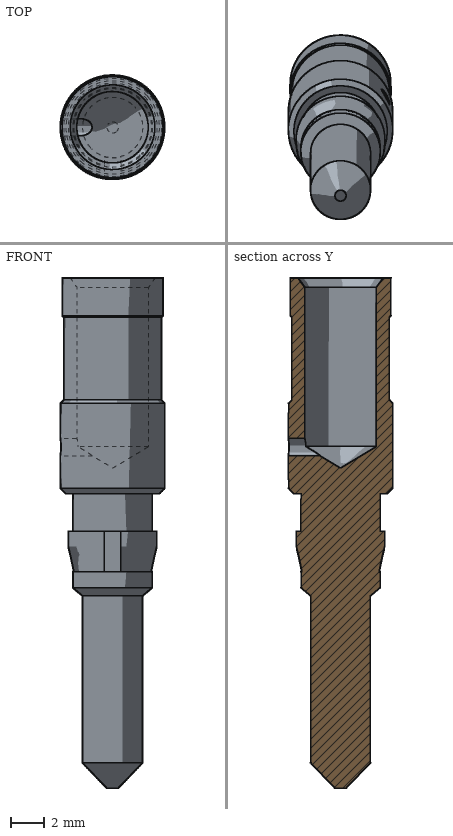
import cadquery as cq
import math

total_length = 30.8
tip_end_radius = 0.35
pin_radius = 1.82
tip_length = 1.55
pin_top = 11.6
collar_radius = 2.4
collar_chamfer_top = 12.1
collar_top = 13.05

ring_groove_radius = 1.85
ring_bottom_radius = 2.35
ring_radius = 2.68
ring_taper_top = 14.6
ring_top = 15.52
ring_gap = 1.02

neck_radius = collar_radius
barrel_bottom = 17.77
barrel_diameter = 6.3
barrel_radius = barrel_diameter / 2
barrel_bottom_chamfer = 0.35
barrel_top = 23.45
waist_radius = 2.95
barrel_top_chamfer = barrel_radius - waist_radius
head_radius = 3.05
head_length = 2.28
head_step = head_radius - waist_radius

bore_radius = 2.15
bore_mouth_radius = 2.55
bore_mouth_depth = 0.55
bore_depth = 10.15
drill_point_angle = 118.0
inspection_hole_radius = 0.52
inspection_hole_z = 20.6


def revolve_profile(points):
    """Turn (radius, height) points around the Z axis."""
    return cq.Workplane("XZ").polyline(points).close().revolve(360, (0, 0, 0), (0, 1, 0))


def make_shaft():
    head_bottom = total_length - head_length
    return revolve_profile([
        (0, 0),
        (tip_end_radius, 0),
        (pin_radius, tip_length),
        (pin_radius, pin_top),
        (collar_radius, collar_chamfer_top),
        (collar_radius, collar_top),
        (ring_groove_radius, collar_top),
        (ring_groove_radius, ring_top),
        (neck_radius, ring_top),
        (neck_radius, barrel_bottom),
        (barrel_radius - barrel_bottom_chamfer, barrel_bottom),
        (barrel_radius, barrel_bottom + barrel_bottom_chamfer),
        (barrel_radius, barrel_top - barrel_top_chamfer),
        (waist_radius, barrel_top),
        (waist_radius, head_bottom - head_step),
        (head_radius, head_bottom),
        (head_radius, total_length),
        (0, total_length),
    ])


def make_retaining_ring():
    ring = revolve_profile([
        (ring_groove_radius, collar_top),
        (ring_bottom_radius, collar_top),
        (ring_radius, ring_taper_top),
        (ring_radius, ring_top),
        (ring_groove_radius, ring_top),
    ])
    gap = (
        cq.Workplane("XY", origin=(0, -ring_radius / 2, collar_top))
        .box(ring_gap, ring_radius, ring_top - collar_top, centered=(True, True, False))
    )
    return ring.cut(gap)


def make_bore():
    bore_bottom = total_length - bore_depth
    drill_point_length = bore_radius / math.tan(math.radians(drill_point_angle / 2))
    return revolve_profile([
        (0, bore_bottom - drill_point_length),
        (bore_radius, bore_bottom),
        (bore_radius, total_length - bore_mouth_depth),
        (bore_mouth_radius, total_length),
        (0, total_length),
    ])


def make_inspection_hole():
    return (
        cq.Workplane("YZ", origin=(0, 0, inspection_hole_z))
        .circle(inspection_hole_radius)
        .extrude(-barrel_radius)
    )


result = make_shaft().union(make_retaining_ring())
result = result.cut(make_bore()).cut(make_inspection_hole())